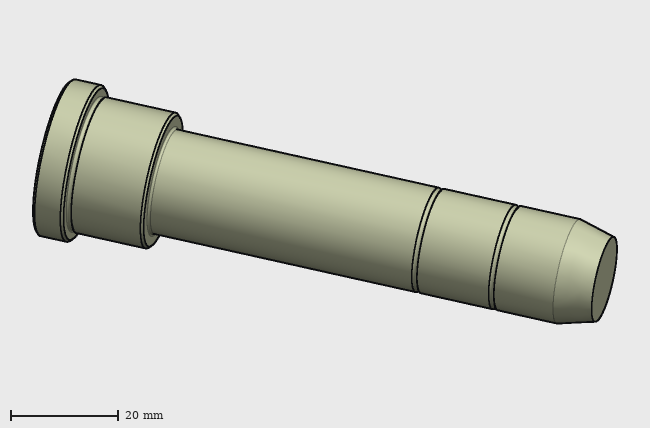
import cadquery as cq
import math

total_length = 107.0
head_diameter = 30.0
head_thickness = 6.0
head_chamfer = 0.5
shoulder_diameter = 26.0
shoulder_length = 15.0
shoulder_chamfer = 0.5
pin_diameter = 20.0
tip_length = 7.0
tip_half_angle = 15.0
root_fillet = 0.5
relief_radius = 0.5
groove_radius = 0.5
groove_pitch = 15.0
groove_count = 2
last_groove_to_cone = 12.0

head_radius = head_diameter / 2
shoulder_radius = shoulder_diameter / 2
pin_radius = pin_diameter / 2
shoulder_end = head_thickness + shoulder_length
tip_start = total_length - tip_length
tip_radius = pin_radius - tip_length * math.tan(math.radians(tip_half_angle))


def cylinder(start, end, radius):
    """Solid cylinder on the X axis between two stations."""
    return cq.Workplane("YZ", origin=(start, 0, 0)).circle(radius).extrude(end - start)


def groove_ring(center, surface_radius, arc_radius):
    """Ring that cuts a half-round groove into a cylindrical surface."""
    start = center - arc_radius
    end = center + arc_radius
    return (
        cq.Workplane("XY")
        .moveTo(start, surface_radius)
        .threePointArc((center, surface_radius - arc_radius), (end, surface_radius))
        .close()
        .revolve(360, (0, 0, 0), (1, 0, 0))
    )


def make_head():
    """Round head, chamfered on both rims."""
    return cylinder(0, head_thickness, head_radius).edges().chamfer(head_chamfer)


def make_shoulder():
    """Fitting shoulder with a lead-in chamfer and a relief next to the head."""
    shoulder = cylinder(head_thickness, shoulder_end, shoulder_radius)
    shoulder = shoulder.faces(">X").edges().chamfer(shoulder_chamfer)
    relief_center = head_thickness + relief_radius
    relief_ring = groove_ring(relief_center, shoulder_radius, relief_radius)
    return shoulder.cut(relief_ring)


def make_pin():
    """Guide pin ending in a truncated cone, flared by a root fillet at the shoulder."""
    fillet_end = shoulder_end + root_fillet
    fillet_top = pin_radius + root_fillet
    return (
        cq.Workplane("XY")
        .moveTo(shoulder_end, 0)
        .lineTo(shoulder_end, fillet_top)
        .radiusArc((fillet_end, pin_radius), -root_fillet)
        .lineTo(tip_start, pin_radius)
        .lineTo(total_length, tip_radius)
        .lineTo(total_length, 0)
        .close()
        .revolve(360, (0, 0, 0), (1, 0, 0))
    )


result = make_head().union(make_shoulder()).union(make_pin())
for index in range(groove_count):
    groove_station = tip_start - last_groove_to_cone - index * groove_pitch
    result = result.cut(groove_ring(groove_station, pin_radius, groove_radius))